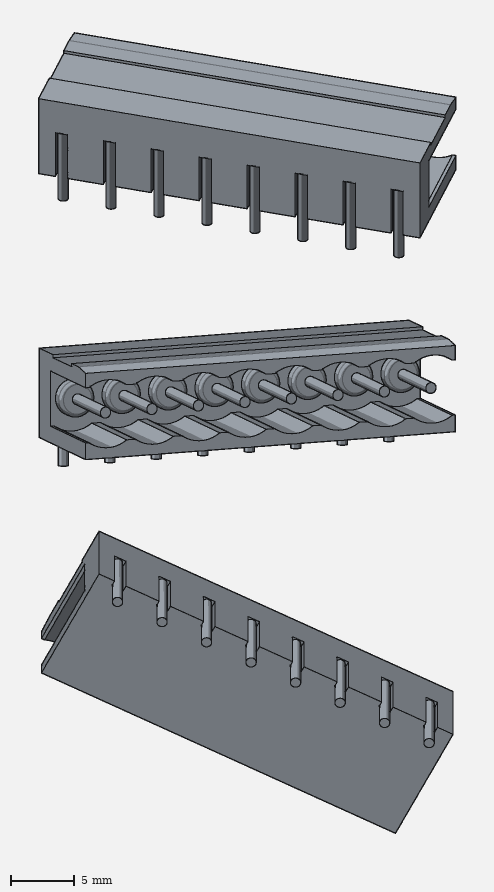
import cadquery as cq

length = 31.5
depth = 10.0
height = 7.2
back_wall = 2.5
cavity_floor = 1.35
cavity_height = 4.45
cavity_axis = cavity_floor + cavity_height / 2

groove_start = 3.0
groove_end = 7.0
groove_depth = 0.25
slope_start = 8.47
slope_drop = 0.25

contact_count = 8
first_contact = 1.9
contact_pitch = (length - 2 * first_contact) / (contact_count - 1)
contact_positions = [first_contact + i * contact_pitch for i in range(contact_count)]

scallop_radius = 2.75

pin_diameter = 0.88
pin_tip = 9.48
boss_diameter = 2.95
boss_length = 1.0
boss_fillet = 0.28

tail_diameter = 0.82
tail_axis = 0.47
tail_projection = 2.3
slot_width = 1.0
slot_height = 4.2


def y_cylinder(x, y_start, y_end, diameter):
    """Cylinder along +Y on the cavity axis."""
    return (
        cq.Workplane("XZ", origin=(x, y_start, cavity_axis))
        .circle(diameter / 2)
        .extrude(y_start - y_end)
    )


def housing():
    profile = [
        (0, 0),
        (depth, 0),
        (depth, cavity_floor),
        (back_wall, cavity_floor),
        (back_wall, cavity_floor + cavity_height),
        (depth, cavity_floor + cavity_height),
        (depth, height - slope_drop),
        (slope_start, height),
        (groove_end, height),
        (groove_end, height - groove_depth),
        (groove_start, height - groove_depth),
        (groove_start, height),
        (0, height),
    ]
    return cq.Workplane("YZ").polyline(profile).close().extrude(length)


def scallop(x):
    return y_cylinder(x, back_wall, depth, 2 * scallop_radius)


def slot(x):
    """Slot open at the front and bottom, as deep as the tail axis."""
    return (
        cq.Workplane("XY", origin=(x, tail_axis / 2, 0))
        .rect(slot_width, tail_axis)
        .extrude(slot_height)
    )


def mating_pin(x):
    boss = y_cylinder(x, back_wall, back_wall + boss_length, boss_diameter)
    boss = boss.faces(">Y").edges().fillet(boss_fillet)
    return boss.union(y_cylinder(x, back_wall, pin_tip, pin_diameter))


def solder_tail(x):
    return (
        cq.Workplane("XY", origin=(x, tail_axis, -tail_projection))
        .circle(tail_diameter / 2)
        .extrude(tail_projection + slot_height)
    )


result = housing()
for x in contact_positions:
    result = result.cut(scallop(x)).cut(slot(x))
for x in contact_positions:
    result = result.union(mating_pin(x)).union(solder_tail(x))